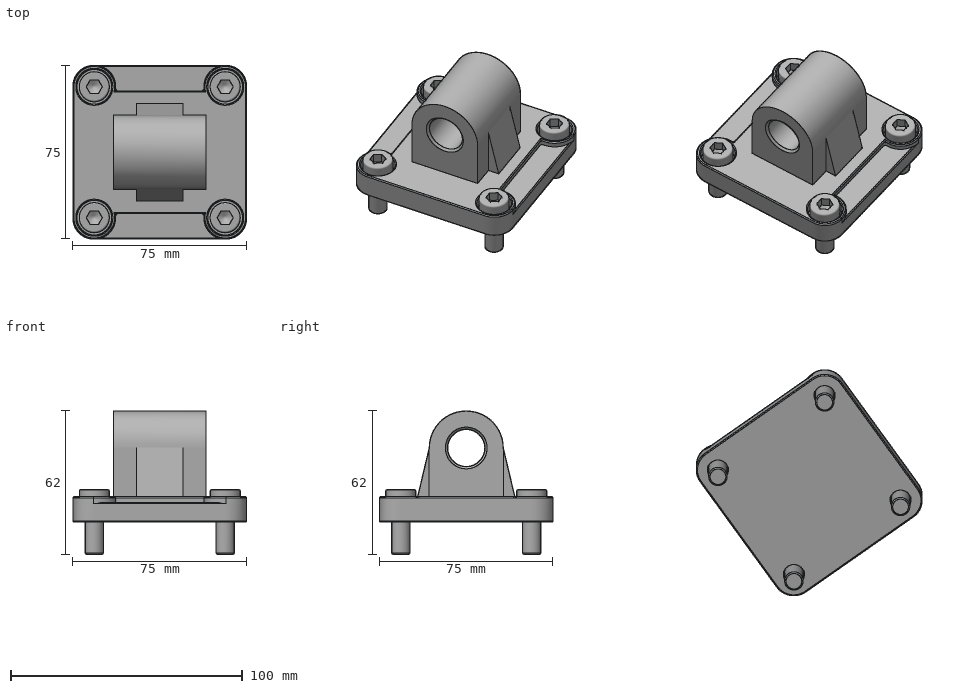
import cadquery as cq
import math

plate_side = 75.0
plate_height = 11.0
bolt_spacing = 56.5
plate_chamfer = 0.5
corner_radius = 9.0

recess_floor = 8.5
recess_wall_y = 26.5
blend_radius = 1.0
boss_radius = 9.25

eye_width = 40.0
eye_radius = 16.0
eye_axis_height = 32.0
eye_bore_diameter = 16.0
eye_bore_chamfer = 1.0

rib_width = 20.0
rib_half_base = 21.0

clearance_diameter = 9.0
seat_diameter = 15.0
seat_floor = 6.0
seat_chamfer = 0.5

shank_diameter = 8.0
shank_length = 20.0
shank_tip_chamfer = 0.6
head_diameter = 13.0
head_height = 8.0
head_rounding = 0.7
hex_across_flats = 6.0
hex_depth = 4.0
drill_point_angle = 120.0

half_spacing = bolt_spacing / 2
bolt_centres = [(sx * half_spacing, sy * half_spacing) for sx in (-1, 1) for sy in (-1, 1)]


def make_plate():
    """Square plate with rounded corners and chamfered rims."""
    block = cq.Workplane("XY").box(plate_side, plate_side, plate_height, centered=(True, True, False))
    return block.edges("|Z").fillet(corner_radius).faces("<Z or >Z").chamfer(plate_chamfer)


def make_side_trough():
    """Straight recess at the +Y side: chamfered wall rim, and floor chamfered at the outer edge."""
    outer_y = plate_side / 2
    trough_length = plate_side - 2 * corner_radius
    profile = [
        (recess_wall_y - plate_chamfer, plate_height),
        (recess_wall_y, plate_height - plate_chamfer),
        (recess_wall_y, recess_floor),
        (outer_y - plate_chamfer, recess_floor),
        (outer_y, recess_floor - plate_chamfer),
        (outer_y, plate_height),
    ]
    return cq.Workplane("YZ").polyline(profile).close().extrude(trough_length / 2, both=True)


def make_boss(x, y):
    """Round boss with a chamfered rim, left standing at one end of a recess."""
    boss = cq.Workplane("XY").center(x, y).circle(boss_radius).extrude(plate_height)
    return boss.faces(">Z").chamfer(plate_chamfer)


def make_corner_blend():
    """Concave blend between the +Y recess wall and the +X boss, up to the chamfered rim."""
    wall_offset = half_spacing - recess_wall_y
    corner_x = half_spacing - math.sqrt(boss_radius**2 - wall_offset**2)

    centre_distance = boss_radius + blend_radius
    blend_y = recess_wall_y + blend_radius
    blend_x = half_spacing - math.sqrt(centre_distance**2 - (half_spacing - blend_y) ** 2)
    boss_share = boss_radius / centre_distance
    boss_touch = (
        half_spacing + boss_share * (blend_x - half_spacing),
        half_spacing + boss_share * (blend_y - half_spacing),
    )
    blend_height = plate_height - plate_chamfer
    wedge = (
        cq.Workplane("XY")
        .polyline([(blend_x, recess_wall_y), (corner_x, recess_wall_y), boss_touch])
        .close()
        .extrude(blend_height)
    )
    round_cut = cq.Workplane("XY").center(blend_x, blend_y).circle(blend_radius).extrude(blend_height)
    return wedge.cut(round_cut)


def make_base():
    """Plate with a recess along the +Y and -Y sides."""
    recess = make_side_trough()
    blend = make_corner_blend()
    for side in (-1, 1):
        recess = recess.cut(make_boss(side * half_spacing, half_spacing))
    recess = recess.cut(blend).cut(blend.mirror("YZ"))
    return make_plate().cut(recess).cut(recess.mirror("XZ"))


def make_eye():
    """Round-topped block with straight sides and a tapered rib on each side."""
    block = (
        cq.Workplane("YZ")
        .moveTo(-eye_radius, plate_height)
        .lineTo(eye_radius, plate_height)
        .lineTo(eye_radius, eye_axis_height)
        .threePointArc((0, eye_axis_height + eye_radius), (-eye_radius, eye_axis_height))
        .close()
        .extrude(eye_width / 2, both=True)
    )
    ribs = (
        cq.Workplane("YZ")
        .polyline([
            (-rib_half_base, plate_height),
            (rib_half_base, plate_height),
            (eye_radius, eye_axis_height),
            (-eye_radius, eye_axis_height),
        ])
        .close()
        .extrude(rib_width / 2, both=True)
    )
    bore = (
        cq.Workplane("YZ")
        .center(0, eye_axis_height)
        .circle(eye_bore_diameter / 2)
        .extrude(eye_width / 2, both=True)
    )
    for end in (-1, 1):
        mouth = cq.Solid.makeCone(
            eye_bore_diameter / 2 + eye_bore_chamfer,
            eye_bore_diameter / 2,
            eye_bore_chamfer,
            cq.Vector(end * eye_width / 2, 0, eye_axis_height),
            cq.Vector(-end, 0, 0),
        )
        bore = bore.union(cq.Workplane(mouth))
    return block.union(ribs).cut(bore)


def make_seat():
    """Stepped clearance for one screw, with a chamfered rim."""
    clearance = cq.Workplane("XY").circle(clearance_diameter / 2).extrude(plate_height)
    counterbore = (
        cq.Workplane("XY", origin=(0, 0, seat_floor))
        .circle(seat_diameter / 2)
        .extrude(plate_height - seat_floor)
    )
    rim = cq.Solid.makeCone(
        seat_diameter / 2 + seat_chamfer,
        seat_diameter / 2,
        seat_chamfer,
        cq.Vector(0, 0, plate_height),
        cq.Vector(0, 0, -1),
    )
    return clearance.union(counterbore).union(cq.Workplane(rim))


def make_hex_socket():
    """Hexagonal socket opening at Z = 0, its floor closed by a drill-point cone."""
    corner_reach = hex_across_flats / 2 / math.cos(math.pi / 6)
    cone_depth = corner_reach / math.tan(math.radians(drill_point_angle / 2))
    hexagon = cq.Workplane("XY").polygon(6, 2 * corner_reach).extrude(-(hex_depth + cone_depth))
    drilled = (
        cq.Workplane("XZ")
        .polyline([
            (0, 0),
            (corner_reach, 0),
            (corner_reach, -hex_depth),
            (0, -hex_depth - cone_depth),
        ])
        .close()
        .revolve(360, (0, 0, 0), (0, 1, 0))
    )
    return hexagon.intersect(drilled)


def make_screw():
    """Cap screw whose head rests on the seat floor."""
    head_top = seat_floor + head_height
    shank = (
        cq.Workplane("XY", origin=(0, 0, seat_floor - shank_length))
        .circle(shank_diameter / 2)
        .extrude(shank_length)
        .faces("<Z")
        .chamfer(shank_tip_chamfer)
    )
    head = (
        cq.Workplane("XY", origin=(0, 0, seat_floor))
        .circle(head_diameter / 2)
        .extrude(head_height)
        .faces(">Z")
        .edges()
        .fillet(head_rounding)
    )
    return shank.union(head).cut(make_hex_socket().translate((0, 0, head_top)))


seat = make_seat()
screw = make_screw()
result = make_base().union(make_eye())
for x, y in bolt_centres:
    result = result.cut(seat.translate((x, y, 0)))
    result = result.union(screw.translate((x, y, 0)))